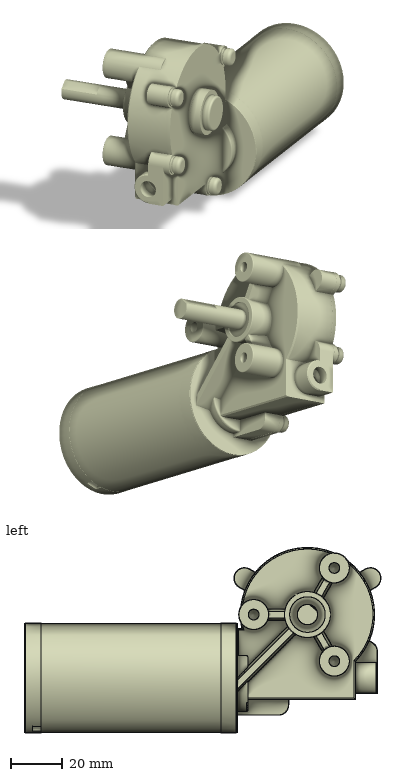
import cadquery as cq
import math


motor_axis_z = -24.8
motor_face_y = 27.5
motor_end_y = 110.8
motor_cap_diameter = 43.0
motor_body_diameter = 42.8
motor_cap_length = 6.4
motor_edge_chamfer = 0.4
spigot_diameter = 26.2
spigot_length = 4.2
spigot_fillet = 0.5
cap_slot_width = 4.9
cap_slot_length = 3.3
cap_slot_depth = 2.1
cap_slot_angle = 21

housing_front_x = -9.8
housing_back_x = 8.9
lid_thickness = 1.8
lid_overhang = 0.07
disc_radius = 26.2
block_top_z = -5.6
block_bottom_z = -33.2
block_end_y = -18.8
housing_chamfer = 0.5
lid_split_x = housing_back_x - lid_thickness

hub_diameter = 18.0
hub_front_x = -19.3
hub_recess_diameter = 14
hub_recess_depth = 0.8
hub_fillet = 0.3
hub_foot_fillet = 0.3
shaft_diameter = 8.0
shaft_tip_x = -48.0
shaft_flat_length = 15.2
shaft_flat_offset = 3.5
shaft_flat_angle = 130
rear_boss_diameter = 18.0
rear_boss_end_x = 14.0
rear_collar_diameter = 18.1
rear_collar_length = 0.7
rear_step_diameter = 14
rear_step_end_x = 16.9
rear_fillet = 0.8

post_diameter = 11.7
post_front_x = -24.7
post_circle_radius = 21.0
post_angles = (0, 120, 240)
post_fillet = 0.3
post_hole_diameter = 4.2
post_hole_depth = 8.4
drill_point_angle = 118
rib_front_x = -18.5
rib_base_width = 4.5
rib_crest_width = 2.5
brace_angle = -45
brace_overrun = 2.1

lug_radius = 4.0
lug_front_x = 0
upper_lug_circle_radius = 28.5
upper_lug_angles = (30, 150)
end_lug_y = -23.3
end_lug_z = -14.5
bottom_lug_y = 11.5
bottom_lug_z = -35.3
screw_diameter = 7
screw_collar_length = 0.7
screw_groove_length = 0.5
screw_groove_diameter = 6.1
screw_head_length = 2.8
screw_head_fillet = 1.4
screw_start_x = 1.4

tube_diameter = 12.1
tube_end_y = end_lug_y - lug_radius
tube_chamfer = 0.4
pad_back_x = 6.4
adjuster_diameter = 6.7
adjuster_depth = 4.2
adjuster_slot_width = 1.3
adjuster_slot_depth = 0.7
adjuster_slot_angle = 45


def x_cylinder(diameter, x_start, x_end, y=0, z=0):
    """Cylinder along X."""
    return cq.Workplane("YZ", origin=(x_start, y, z)).circle(diameter / 2).extrude(x_end - x_start)


def y_cylinder(diameter, y_start, y_end):
    """Cylinder along Y on the motor axis."""
    plane = cq.Workplane("XZ", origin=(0, y_start, motor_axis_z))
    return plane.circle(diameter / 2).extrude(y_start - y_end)


def box_between(x_range, y_range, z_range):
    """Box given by its two limits along each axis."""
    lengths = [limits[1] - limits[0] for limits in (x_range, y_range, z_range)]
    corner = (x_range[0], y_range[0], z_range[0])
    return cq.Workplane("XY").box(*lengths, centered=False).translate(corner)


def turn_about_shaft(body, angle):
    """Turn a body about the X axis, from +Y toward +Z."""
    return body.rotate((0, 0, 0), (1, 0, 0), angle)


def make_motor():
    body = y_cylinder(motor_body_diameter, motor_face_y, motor_end_y)
    front_cap = y_cylinder(motor_cap_diameter, motor_face_y, motor_face_y + motor_cap_length)
    rear_cap = y_cylinder(motor_cap_diameter, motor_end_y - motor_cap_length, motor_end_y)
    front_cap = front_cap.faces("<Y").chamfer(motor_edge_chamfer)
    rear_cap = rear_cap.faces(">Y").chamfer(motor_edge_chamfer)
    spigot = y_cylinder(spigot_diameter, motor_face_y - spigot_length, motor_face_y)
    spigot = spigot.faces("<Y").edges().fillet(spigot_fillet)

    slot_start_y = motor_end_y - motor_cap_length
    slot_bottom_z = motor_axis_z - motor_cap_diameter / 2
    slot = box_between(
        (-cap_slot_width / 2, cap_slot_width / 2),
        (slot_start_y, slot_start_y + cap_slot_length),
        (slot_bottom_z - cap_slot_depth, slot_bottom_z + cap_slot_depth),
    )
    slot = slot.rotate((0, 0, motor_axis_z), (0, 1, motor_axis_z), cap_slot_angle)
    return body.union(front_cap).union(rear_cap).union(spigot).cut(slot)


def housing_outline(x_start, x_end, overhang):
    """Disc around the shaft joined to the worm block, widened all round by the overhang."""
    disc = x_cylinder(2 * (disc_radius + overhang), x_start, x_end)
    block = box_between(
        (x_start, x_end),
        (block_end_y - overhang, motor_face_y),
        (block_bottom_z - overhang, block_top_z + overhang),
    )
    return disc.union(block)


def make_housing():
    body = housing_outline(housing_front_x, lid_split_x, 0).faces("<X").chamfer(housing_chamfer)
    return body.union(housing_outline(lid_split_x, housing_back_x, lid_overhang))


def make_post(angle):
    post = x_cylinder(post_diameter, post_front_x, 0, y=post_circle_radius)
    post = post.faces("<X").edges().fillet(post_fillet)
    return turn_about_shaft(post, angle)


def make_post_hole(angle):
    radius = post_hole_diameter / 2
    point_length = radius / math.tan(math.radians(drill_point_angle / 2))
    hole_end_x = post_front_x + post_hole_depth
    profile = [
        (post_front_x, 0),
        (post_front_x, radius),
        (hole_end_x, radius),
        (hole_end_x + point_length, 0),
    ]
    hole = cq.Workplane("XY").polyline(profile).close().revolve(360, (0, 0), (1, 0))
    return turn_about_shaft(hole.translate((0, post_circle_radius, 0)), angle)


def make_rib(angle, length):
    """Tapered rib that runs outward from the hub on the housing front."""
    section = [
        (0, -rib_base_width / 2),
        (housing_front_x, -rib_base_width / 2),
        (rib_front_x, -rib_crest_width / 2),
        (rib_front_x, rib_crest_width / 2),
        (housing_front_x, rib_base_width / 2),
        (0, rib_base_width / 2),
    ]
    rib = cq.Workplane("XZ").polyline(section).close().extrude(-length)
    return turn_about_shaft(rib, angle)


def make_hub_foot():
    """Concave fillet ring where the hub meets the housing front."""
    radius = hub_diameter / 2
    fillet_start_x = housing_front_x - hub_foot_fillet
    arc_reach = hub_foot_fillet * (1 - math.sqrt(0.5))
    profile = (
        cq.Workplane("XY")
        .moveTo(housing_front_x, 0)
        .lineTo(fillet_start_x, 0)
        .lineTo(fillet_start_x, radius)
        .threePointArc(
            (housing_front_x - arc_reach, radius + arc_reach),
            (housing_front_x, radius + hub_foot_fillet),
        )
        .close()
    )
    return profile.revolve(360, (0, 0), (1, 0))


def make_hub():
    hub = x_cylinder(hub_diameter, hub_front_x, 0)
    hub = hub.faces("<X").edges().fillet(hub_fillet)
    return hub.union(make_hub_foot())


def make_shaft():
    shaft = x_cylinder(shaft_diameter, shaft_tip_x, 0)
    flat_cut = box_between(
        (shaft_tip_x, shaft_tip_x + shaft_flat_length),
        (shaft_flat_offset, shaft_diameter),
        (-shaft_diameter, shaft_diameter),
    )
    return shaft.cut(turn_about_shaft(flat_cut, shaft_flat_angle))


def make_rear_boss():
    boss = x_cylinder(rear_boss_diameter, 0, rear_boss_end_x)
    step = x_cylinder(rear_step_diameter, 0, rear_step_end_x)
    step = step.faces(">X").edges().fillet(rear_fillet)
    collar = x_cylinder(rear_collar_diameter, 0, housing_back_x + rear_collar_length)
    return boss.union(step).union(collar)


def make_radial_lug(y, z, x_start, x_end, overhang):
    """Lug with a round end at (y, z) and straight sides that run toward the shaft axis."""
    reach = math.hypot(y, z)
    radius = lug_radius + overhang
    root = disc_radius - 2 * lug_radius
    tip = x_cylinder(2 * radius, x_start, x_end, y=reach)
    neck = box_between((x_start, x_end), (root, reach), (-radius, radius))
    return turn_about_shaft(tip.union(neck), math.degrees(math.atan2(z, y)))


def make_bottom_lug(x_start, x_end, overhang):
    """Lug under the worm block, rounded at its free end and running back to the motor face."""
    radius = lug_radius + overhang
    tip = x_cylinder(2 * radius, x_start, x_end, bottom_lug_y, bottom_lug_z)
    bar = box_between(
        (x_start, x_end),
        (bottom_lug_y, motor_face_y),
        (bottom_lug_z - radius, block_bottom_z + lug_radius),
    )
    root = box_between(
        (x_start, x_end),
        (bottom_lug_y - radius, bottom_lug_y),
        (bottom_lug_z, block_bottom_z + lug_radius),
    )
    return tip.union(bar).union(root)


def make_screw(y, z):
    collar_end = housing_back_x + screw_collar_length
    head_start = collar_end + screw_groove_length
    head_end = head_start + screw_head_length
    collar = x_cylinder(screw_diameter, screw_start_x, collar_end, y, z)
    groove = x_cylinder(screw_groove_diameter, screw_start_x, head_start, y, z)
    head = x_cylinder(screw_diameter, head_start, head_end, y, z)
    head = head.faces(">X").edges().fillet(screw_head_fillet)
    return collar.union(groove).union(head)


def make_adjuster_tube():
    """Tube around the worm end, joined to a flat pad that reaches up to the end lug."""
    tube = y_cylinder(tube_diameter, tube_end_y, 0).faces("<Y").chamfer(tube_chamfer)
    pad = box_between(
        (lug_front_x, pad_back_x),
        (tube_end_y, block_end_y),
        (motor_axis_z - tube_diameter / 2, end_lug_z),
    )
    return tube.union(pad)


def make_adjuster_cut():
    floor_y = tube_end_y + adjuster_depth
    bore = y_cylinder(adjuster_diameter, tube_end_y, floor_y)
    slot_end_y = floor_y + adjuster_slot_depth
    bar = box_between(
        (-adjuster_diameter, adjuster_diameter),
        (floor_y, slot_end_y),
        (motor_axis_z - adjuster_slot_width / 2, motor_axis_z + adjuster_slot_width / 2),
    )
    bar = bar.rotate((0, 0, motor_axis_z), (0, 1, motor_axis_z), adjuster_slot_angle)
    slot = bar.intersect(y_cylinder(adjuster_diameter, floor_y, slot_end_y))
    return bore.union(slot)


radial_lug_places = [
    (
        upper_lug_circle_radius * math.cos(math.radians(angle)),
        upper_lug_circle_radius * math.sin(math.radians(angle)),
    )
    for angle in upper_lug_angles
]
radial_lug_places.append((end_lug_y, end_lug_z))
screw_places = radial_lug_places + [(bottom_lug_y, bottom_lug_z)]

result = make_housing().union(make_motor())
result = result.union(make_adjuster_tube()).union(make_rear_boss())
for x_start, x_end, overhang in (
    (lug_front_x, lid_split_x, 0),
    (lid_split_x, housing_back_x, lid_overhang),
):
    result = result.union(make_bottom_lug(x_start, x_end, overhang))
    for y, z in radial_lug_places:
        result = result.union(make_radial_lug(y, z, x_start, x_end, overhang))
for y, z in screw_places:
    result = result.union(make_screw(y, z))
for angle in post_angles:
    result = result.union(make_rib(angle, post_circle_radius))
    result = result.union(make_post(angle))
brace_length = motor_face_y / math.cos(math.radians(brace_angle)) + brace_overrun
result = result.union(make_rib(brace_angle, brace_length))
hub_recess = x_cylinder(hub_recess_diameter, hub_front_x, hub_front_x + hub_recess_depth)
result = result.union(make_hub()).cut(hub_recess).union(make_shaft())
for angle in post_angles:
    result = result.cut(make_post_hole(angle))
result = result.cut(make_adjuster_cut())